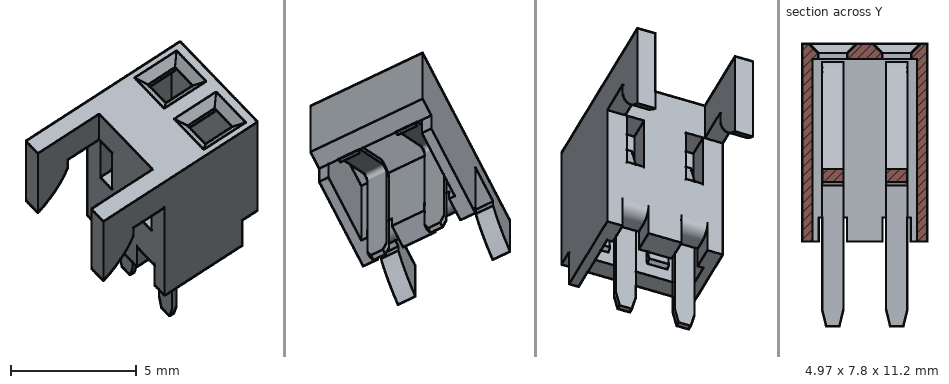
import cadquery as cq
import math


width = 4.97
total_depth = 7.8
body_height = 7.86
body_depth = 4.7
arm_length = total_depth - body_depth
step_depth = 0.77
step_height = 1.74

arm_thickness = 0.77
arm_height = 1.77
hook_length = 1.52
hook_neck = 0.56
hook_drop = 4.11
hook_bulge = 0.19

pitch = 2.54
contact_places = (-pitch / 2, pitch / 2)
throat_width = 1.13
throat_depth = 1.36
throat_height = 0.24
lead_in = 0.38
window_width = 0.74
window_height = 2.53
window_top = body_height - arm_height
notch_width = 1.11
notch_height = 1.48
notch_round = 0.53

front_wall = 1.0
side_wall = 0.42
cavity_back = body_depth - step_depth
cavity_height = body_height - lead_in - throat_height

contact_width = 0.85
sheet = 0.22
pin_length = 3.37
tip_height = 0.66
shoulder = tip_height - pin_length
tip_width = 0.53
fold_radius = 0.28
fold_height = 6.74
leaf_angle = math.radians(28)
bump_radius = 0.79
bump_gap = 0.01
bump_exit = math.radians(-30)
barb_width = 0.53
barb_bottom = 3.64
barb_height = 1.61
barb_angle = math.radians(19.7)


def block(size_x, y_min, y_max, z_min, z_max, center_x=0):
    """Box centred on center_x and spanning the given Y and Z ranges."""
    return cq.Workplane("XY").box(
        size_x, y_max - y_min, z_max - z_min, centered=(True, False, False)
    ).translate((center_x, y_min, z_min))


def housing_block():
    """Side profile of body, back step and hooked arms, with the gap between the arms removed."""
    nose_top = (hook_length - arm_length, body_height - arm_height - hook_neck)
    nose_tip = (-arm_length, body_height - hook_drop)
    chord_y = nose_tip[0] - nose_top[0]
    chord_z = nose_tip[1] - nose_top[1]
    chord = math.hypot(chord_y, chord_z)
    nose_middle = (
        (nose_top[0] + nose_tip[0]) / 2 - hook_bulge * chord_z / chord,
        (nose_top[1] + nose_tip[1]) / 2 + hook_bulge * chord_y / chord,
    )
    profile = (
        cq.Workplane("YZ")
        .moveTo(0, 0)
        .lineTo(cavity_back, 0)
        .lineTo(cavity_back, step_height)
        .lineTo(body_depth, step_height)
        .lineTo(body_depth, body_height)
        .lineTo(-arm_length, body_height)
        .lineTo(*nose_tip)
        .threePointArc(nose_middle, nose_top)
        .lineTo(nose_top[0], body_height - arm_height)
        .lineTo(0, body_height - arm_height)
        .close()
        .extrude(width / 2, both=True)
    )
    arm_gap = block(width - 2 * arm_thickness, -arm_length, 0, 0, body_height)
    return profile.cut(arm_gap)


def entry(x):
    """Flared opening in the top face leading through a throat into the cavity."""
    throat = block(
        throat_width, cavity_back - throat_depth, cavity_back, cavity_height, body_height, x
    )
    flare = (
        cq.Workplane("XY", origin=(x, cavity_back - throat_depth / 2, body_height))
        .rect(throat_width + 2 * lead_in, throat_depth + 2 * lead_in)
        .workplane(offset=-lead_in)
        .rect(throat_width, throat_depth)
        .loft()
    )
    return throat.union(flare)


def notch(x):
    """Slot at the foot of the front wall whose ceiling rounds up into the front face."""
    ceiling = notch_height - notch_round
    bend = notch_round * math.sqrt(0.5)
    return (
        cq.Workplane("YZ", origin=(x, 0, 0))
        .moveTo(0, 0)
        .lineTo(0, notch_height)
        .threePointArc((notch_round - bend, notch_height - bend), (notch_round, ceiling))
        .lineTo(front_wall, ceiling)
        .lineTo(front_wall, 0)
        .close()
        .extrude(notch_width / 2, both=True)
    )


def window(x):
    """Latch window through the front wall."""
    return block(window_width, 0, front_wall, window_top - window_height, window_top, x)


def spring_strip(x):
    """Sheet strip: up the front wall, folded over, down a slanted leaf to a rounded bump."""
    middle = front_wall + sheet / 2
    fold_center = middle + fold_radius
    half_turn = (math.pi + leaf_angle) / 2
    leaf_start = (
        fold_center + fold_radius * math.cos(leaf_angle),
        fold_height + fold_radius * math.sin(leaf_angle),
    )

    bend = bump_radius - sheet / 2
    bump_y = cavity_back - bump_gap - bump_radius
    leaf_end_y = bump_y + bend * math.cos(leaf_angle)
    leaf_end_z = leaf_start[1] - (leaf_end_y - leaf_start[0]) / math.tan(leaf_angle)
    bump_z = leaf_end_z - bend * math.sin(leaf_angle)

    path = (
        cq.Workplane("YZ", origin=(x, 0, 0))
        .moveTo(middle, shoulder)
        .lineTo(middle, fold_height)
        .threePointArc(
            (
                fold_center + fold_radius * math.cos(half_turn),
                fold_height + fold_radius * math.sin(half_turn),
            ),
            leaf_start,
        )
        .lineTo(leaf_end_y, leaf_end_z)
        .threePointArc(
            (bump_y + bend, bump_z),
            (bump_y + bend * math.cos(bump_exit), bump_z + bend * math.sin(bump_exit)),
        )
    )
    section = cq.Workplane("XY", origin=(x, middle, shoulder)).rect(contact_width, sheet)
    return section.sweep(path)


def pin_tip(x):
    """Tapered lower end of the solder pin."""
    return (
        cq.Workplane("XZ", origin=(x, front_wall, 0))
        .moveTo(-contact_width / 2, shoulder)
        .lineTo(contact_width / 2, shoulder)
        .lineTo(tip_width / 2, -pin_length)
        .lineTo(-tip_width / 2, -pin_length)
        .close()
        .extrude(-sheet)
    )


def barb(x):
    """Right-angled latch wedge standing out of the contact into the window."""
    lower_leg = barb_height * math.sin(barb_angle)
    return (
        cq.Workplane("YZ", origin=(x, 0, 0))
        .moveTo(front_wall, barb_bottom)
        .lineTo(front_wall, barb_bottom + barb_height)
        .lineTo(
            front_wall - lower_leg * math.cos(barb_angle),
            barb_bottom + lower_leg * math.sin(barb_angle),
        )
        .close()
        .extrude(barb_width / 2, both=True)
    )


cavity = block(width - 2 * side_wall, front_wall, cavity_back, 0, cavity_height)
result = housing_block().cut(cavity)
for place in contact_places:
    result = result.cut(entry(place)).cut(notch(place)).cut(window(place))
for place in contact_places:
    result = result.union(spring_strip(place)).union(pin_tip(place)).union(barb(place))